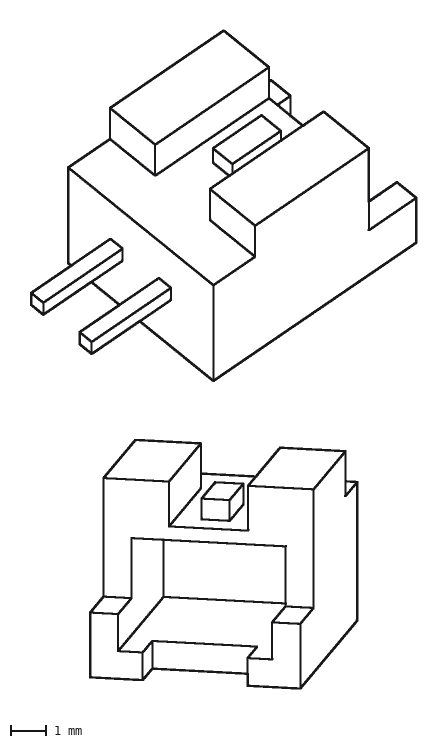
import cadquery as cq

housing_width = 6.0
housing_length = 7.69
body_height = 4.0
total_height = 5.3
wall = 0.8

shelf_length = 1.8
shelf_height = 1.87
notch_width = 3.0
notch_depth = 1.3

ridge_width = 1.87
ridge_setback = 1.58
latch_width = 0.8
latch_length = 1.84
latch_height = 0.6
latch_offset = 2.75

pin_size = 0.5
pin_pitch = 2.0
pin_length = 3.01
pin_center_z = 2.2

socket_width = housing_width - 2 * wall
socket_height = 2 * (pin_center_z - wall)
socket_depth = housing_length - ridge_setback
body_length = housing_length - shelf_length


def block(width, length, height, x_center, y_start, z_start):
    """Box centred on x_center, growing toward +Y and +Z from its start values."""
    return cq.Workplane("XY").box(width, length, height, centered=(True, False, False)).translate(
        (x_center, y_start, z_start)
    )


housing = block(housing_width, housing_length, shelf_height, 0, 0, 0)
housing = housing.union(block(housing_width, body_length, body_height, 0, 0, 0))

ridge_length = body_length - ridge_setback
ridge_x = (housing_width - ridge_width) / 2
for side in (-1, 1):
    housing = housing.union(
        block(ridge_width, ridge_length, total_height - body_height, side * ridge_x, ridge_setback, body_height)
    )

latch_start = housing_length - latch_offset - latch_length
housing = housing.union(block(latch_width, latch_length, latch_height, 0, latch_start, body_height))

socket = block(socket_width, socket_depth, socket_height, 0, ridge_setback, wall)
notch = block(notch_width, notch_depth, shelf_height, 0, housing_length - notch_depth, 0)
housing = housing.cut(socket).cut(notch)

for side in (-1, 1):
    housing = housing.union(
        block(pin_size, pin_length, pin_size, side * pin_pitch / 2, -pin_length, pin_center_z - pin_size / 2)
    )

result = housing